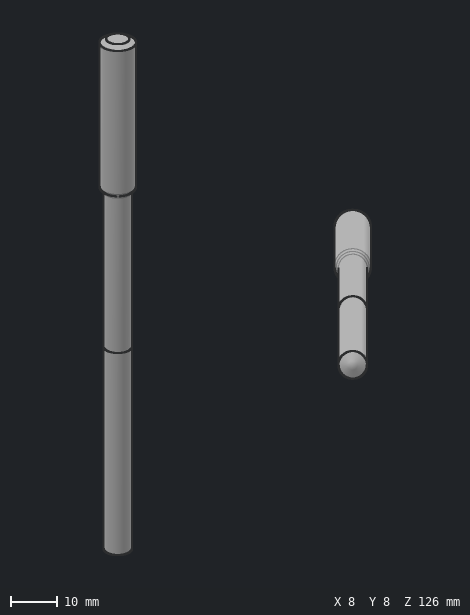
import cadquery as cq
import math

total_length = 126.0
shank_radius = 8.0 / 2
end_face_radius = 5.0 / 2
end_chamfer_height = 0.9
shank_base_z = 90.0
shoulder_height = 1.4

drill_radius = 6.2 / 2
joint_z = 50.7
point_angle = 140.0

point_height = drill_radius / math.tan(math.radians(point_angle / 2))
neck_z = shank_base_z - shoulder_height


def make_shank():
    """Chamfered shank whose S-curved shoulder runs smoothly into the rod above the joint."""
    shoulder_middle = ((drill_radius + shank_radius) / 2, (neck_z + shank_base_z) / 2)
    return (
        cq.Workplane("XZ")
        .moveTo(0, joint_z)
        .lineTo(drill_radius, joint_z)
        .lineTo(drill_radius, neck_z)
        .tangentArcPoint(shoulder_middle, relative=False)
        .tangentArcPoint((shank_radius, shank_base_z), relative=False)
        .lineTo(shank_radius, total_length - end_chamfer_height)
        .lineTo(end_face_radius, total_length)
        .lineTo(0, total_length)
        .close()
        .revolve(360, (0, 0, 0), (0, 1, 0))
    )


def make_drill_tip():
    """Plain cylindrical rod with a conical point at Z = 0."""
    return (
        cq.Workplane("XZ")
        .lineTo(drill_radius, point_height)
        .lineTo(drill_radius, joint_z)
        .lineTo(0, joint_z)
        .close()
        .revolve(360, (0, 0, 0), (0, 1, 0))
    )


shank = make_shank()
drill_tip = make_drill_tip()

result = cq.Compound.makeCompound([shank.val(), drill_tip.val()])